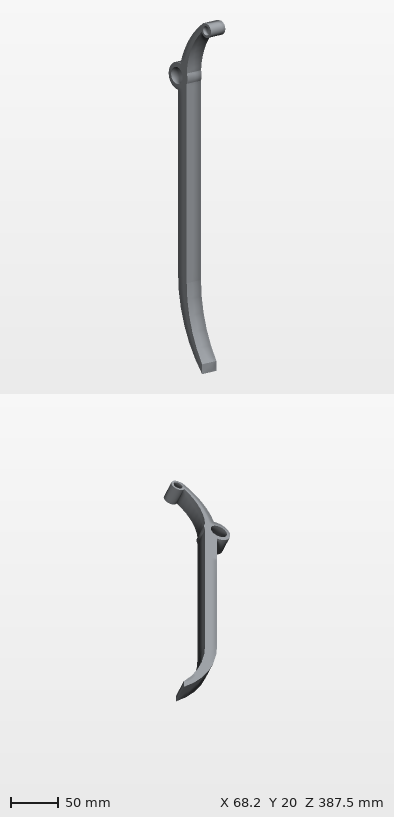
import cadquery as cq
import math

height = 387.5
thickness = 20.0
bar_width = 14.0

eye_radius = 7.7
eye_hole_radius = 5.0
eye_x = 45.5
eye_z = height - eye_radius

pivot_radius = 15.0
pivot_hole_radius = 9.3
pivot_x = 0.0
pivot_hole_x = -2.0
pivot_z = 320.5

tail_radius = 155.0
tail_end_x = 38.7
tail_outer_start_z = math.sqrt(tail_radius**2 - (tail_radius - tail_end_x) ** 2)
tail_inner_start_z = 95.0

neck_inner_radius = 73.5
neck_inner_start_z = 322.5
neck_inner_end_x = 39.5
neck_outer_radius = 97.0
neck_outer_start_z = 308.5
neck_outer_end_x = 40.3


def arc_point(face_x, start_z, radius, x, direction):
    """Point at x on an arc that leaves a vertical face tangentially and bends toward +X."""
    run = radius - (x - face_x)
    return x, start_z + direction * math.sqrt(radius**2 - run**2)


def arc_mid_and_end(face_x, start_z, radius, end_x, direction):
    """Intermediate and end points of a tangent arc; direction is +1 upward, -1 downward."""
    middle_x = (face_x + end_x) / 2
    return [arc_point(face_x, start_z, radius, x, direction) for x in (middle_x, end_x)]


def cylinder(x, z, radius):
    """Cylinder along Y through the full thickness."""
    return (
        cq.Workplane("XZ")
        .center(x, z)
        .circle(radius)
        .extrude(thickness / 2, both=True)
    )


tail_outer_mid, tail_tip = arc_mid_and_end(0, tail_outer_start_z, tail_radius, tail_end_x, -1)
tail_inner_mid, tail_inner_end = arc_mid_and_end(
    bar_width, tail_inner_start_z, tail_radius, tail_end_x, -1
)
neck_inner_mid, neck_inner_end = arc_mid_and_end(
    bar_width, neck_inner_start_z, neck_inner_radius, neck_inner_end_x, 1
)
neck_outer_mid, neck_outer_end = arc_mid_and_end(
    0, neck_outer_start_z, neck_outer_radius, neck_outer_end_x, 1
)

lever = (
    cq.Workplane("XZ")
    .moveTo(0, tail_outer_start_z)
    .threePointArc(tail_outer_mid, tail_tip)
    .lineTo(*tail_inner_end)
    .threePointArc(tail_inner_mid, (bar_width, tail_inner_start_z))
    .lineTo(bar_width, neck_inner_start_z)
    .threePointArc(neck_inner_mid, neck_inner_end)
    .lineTo(eye_x, eye_z)
    .lineTo(eye_x, height)
    .lineTo(*neck_outer_end)
    .threePointArc(neck_outer_mid, (0, neck_outer_start_z))
    .close()
    .extrude(thickness / 2, both=True)
)

lever = lever.union(cylinder(pivot_x, pivot_z, pivot_radius))
lever = lever.union(cylinder(eye_x, eye_z, eye_radius))
lever = lever.cut(cylinder(pivot_hole_x, pivot_z, pivot_hole_radius))
result = lever.cut(cylinder(eye_x, eye_z, eye_hole_radius))